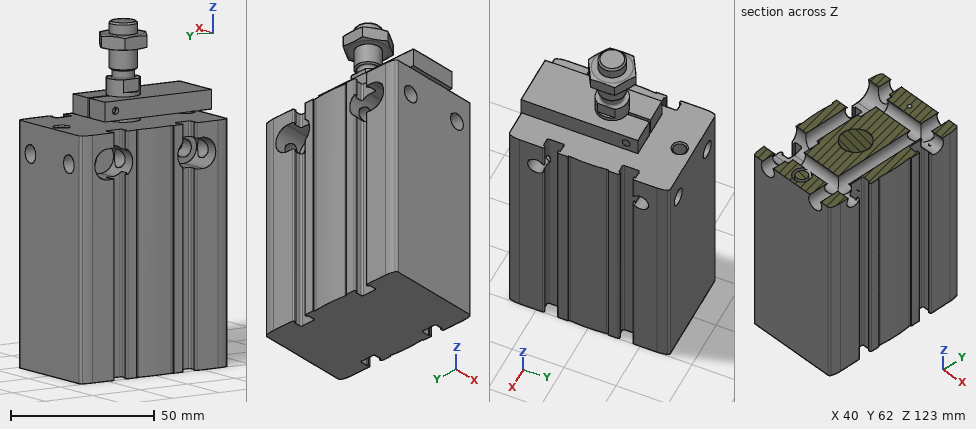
import cadquery as cq
import math


body_width = 40.0
body_depth = 62.0
body_height = 88.0
half_width = body_width / 2
half_depth = body_depth / 2

side_round_radius = 12.0
side_round_start = 26.5
corner_radius = 1.0

groove_outer_y = 7.8
groove_floor_y = 7.7
groove_inner_y = 6.9
groove_depth = 0.4

slot_y = 14.5
slot_mouth = 5.2
slot_inner_width = 6.5
slot_lip = 1.2
slot_depth = 4.6
slot_mouth_radius = 0.5
slot_corner_radius = 0.6

mount_hole_d = 6.6
mount_z = body_height - 11.0
side_hole_y = 20.0
end_hole_x = 12.0
counterbore_d = 11.0
counterbore_stretch = 5.0
counterbore_depth = 12.0

port_y = 26.0
port_d = 4.92
port_mouth_d = 6.0
port_depth = 8.0
port_tip_angle = 118.0

rod_d = 12.0
rod_top = 123.0
rod_shoulder_z = 103.0
rod_engagement = 20.0
rod_flat_width = 10.0
rod_flat_length = 4.5
thread_d = 10.0
thread_end_d = 8.65
thread_bottom_z = 105.95
thread_bottom_taper = 0.5
neck_d = 8.0
neck_fillet = 0.3

nut_across_flats = 16.0
nut_thickness = 5.0
nut_bottom_z = 113.8
nut_face_d = 14.7
nut_bevel_angle = 15.0

plate_width = 20.0
plate_thickness = 7.0
plate_bottom_z = 90.0
plate_back_y = 14.5
plate_front_y = -30.5
slit_width = 1.0
guide_d = 5.0
guide_hole_d = 7.0
guide_y = -26.0

screw_d = 3.0
screw_y = 10.0
screw_z = plate_bottom_z + plate_thickness / 2
screw_recess = 2.0
pilot_d = 2.46

rod_bottom_z = body_height - rod_engagement


def cylinder(diameter, bottom, top, y=0.0):
    """Upright cylinder between two heights."""
    return cq.Workplane("XY", origin=(0, y, bottom)).circle(diameter / 2).extrude(top - bottom)


def revolve_profile(points):
    """Solid of revolution about the Z axis from (radius, height) points."""
    return cq.Workplane("XZ").polyline(points).close().revolve(360, (0, 0, 0), (0, 1, 0))


def cylinder_along_x(diameter, start_x, end_x, y, z):
    return cq.Workplane("YZ", origin=(start_x, y, z)).circle(diameter / 2).extrude(end_x - start_x)


def polar(center, radius, angle):
    """Point on a circle, with the angle in radians from the +X direction."""
    return (center[0] + radius * math.cos(angle), center[1] + radius * math.sin(angle))


def corner_path(side_x, side_y):
    """Points of one body corner, from the side face to the end face.

    Start, middle and end of the large rounding, then middle and end of the small one.
    """
    side_center = (half_width - side_round_radius, side_round_start)
    corner_center_y = half_depth - corner_radius
    center_distance = side_round_radius - corner_radius
    join_angle = math.asin((corner_center_y - side_round_start) / center_distance)
    corner_center = polar(side_center, center_distance, join_angle)
    right_angle = math.pi / 2
    points = [
        polar(side_center, side_round_radius, 0),
        polar(side_center, side_round_radius, join_angle / 2),
        polar(side_center, side_round_radius, join_angle),
        polar(corner_center, corner_radius, (join_angle + right_angle) / 2),
        polar(corner_center, corner_radius, right_angle),
    ]
    return [(side_x * x, side_y * y) for x, y in points]


def body_block():
    """Extruded outline: rounded corners, grooves and a crowned middle on both sides."""
    outline = cq.Workplane("XY").moveTo(*corner_path(-1, -1)[-1])
    for side in (1, -1):
        near = corner_path(side, -side)
        far = corner_path(side, side)
        surface_x = side * half_width
        groove_x = side * (half_width - groove_depth)
        outline = (
            outline.lineTo(*near[4])
            .threePointArc(near[3], near[2])
            .threePointArc(near[1], near[0])
            .lineTo(surface_x, -side * groove_outer_y)
            .lineTo(groove_x, -side * groove_floor_y)
            .lineTo(groove_x, -side * groove_inner_y)
            .threePointArc((surface_x, 0), (groove_x, side * groove_inner_y))
            .lineTo(groove_x, side * groove_floor_y)
            .lineTo(surface_x, side * groove_outer_y)
            .lineTo(*far[0])
            .threePointArc(far[1], far[2])
            .threePointArc(far[3], far[4])
        )
    return outline.close().extrude(body_height)


def sensor_slot(side_x, center_y):
    """T-shaped slot along the full height, with a rounded mouth and inner corners."""
    surface_x = side_x * half_width
    mouth_x = side_x * (half_width - slot_lip / 2)
    chamber_x = side_x * (half_width - (slot_lip + slot_depth) / 2)
    inner_side = ">X" if side_x < 0 else "<X"
    mouth = cq.Workplane("XY").center(mouth_x, center_y).rect(slot_lip, slot_mouth).extrude(body_height)
    chamber = (
        cq.Workplane("XY")
        .center(chamber_x, center_y)
        .rect(slot_depth - slot_lip, slot_inner_width)
        .extrude(body_height)
        .edges(f"|Z and {inner_side}")
        .fillet(slot_corner_radius)
    )
    slot = mouth.union(chamber)
    for edge in (-1, 1):
        edge_y = center_y + edge * slot_mouth / 2
        tangent_x = surface_x - side_x * slot_mouth_radius
        tangent_y = edge_y + edge * slot_mouth_radius
        arc_middle = polar((tangent_x, tangent_y), slot_mouth_radius, math.atan2(-edge, side_x))
        flare = (
            cq.Workplane("XY")
            .moveTo(surface_x, edge_y)
            .lineTo(surface_x, tangent_y)
            .threePointArc(arc_middle, (tangent_x, edge_y))
            .close()
            .extrude(body_height)
        )
        slot = slot.union(flare)
    return slot


def side_mount_hole(side_y):
    """Hole along X with a counterbore drawn out toward the middle of the body."""
    hole = cylinder_along_x(mount_hole_d, -half_width, half_width, side_y * side_hole_y, mount_z)
    counterbore_y = side_y * (side_hole_y - counterbore_stretch / 2)
    counterbore = (
        cq.Workplane("YZ", origin=(-half_width, counterbore_y, mount_z))
        .slot2D(counterbore_d + counterbore_stretch, counterbore_d)
        .extrude(counterbore_depth)
    )
    return hole.union(counterbore)


def end_mount_hole(side_x):
    """Plain hole along Y through the whole body."""
    return (
        cq.Workplane("XZ", origin=(side_x * end_hole_x, half_depth, mount_z))
        .circle(mount_hole_d / 2)
        .extrude(body_depth)
    )


def top_port():
    """Blind drilled hole with a beveled mouth and a conical bottom."""
    radius = port_d / 2
    mouth_radius = port_mouth_d / 2
    tip_length = radius / math.tan(math.radians(port_tip_angle / 2))
    points = [
        (0, body_height),
        (mouth_radius, body_height),
        (radius, body_height - (mouth_radius - radius)),
        (radius, body_height - port_depth),
        (0, body_height - port_depth - tip_length),
    ]
    return revolve_profile(points).translate((0, port_y, 0))


def make_body():
    body = body_block()
    for side in (-1, 1):
        body = body.cut(sensor_slot(side, slot_y)).cut(sensor_slot(side, -slot_y))
        body = body.cut(side_mount_hole(side)).cut(end_mount_hole(side))
    body = body.cut(top_port())
    body = body.cut(cylinder(rod_d, rod_bottom_z, body_height))
    return body.cut(cylinder(guide_hole_d, rod_bottom_z, body_height, y=guide_y))


def make_rod():
    thread_radius = thread_d / 2
    thread_end_radius = thread_end_d / 2
    neck_radius = neck_d / 2
    chamfer = thread_radius - thread_end_radius
    fillet_center_x = neck_radius + neck_fillet
    lower_center = (fillet_center_x, rod_shoulder_z + neck_fillet)
    upper_center = (fillet_center_x, thread_bottom_z - neck_fillet)
    lower_middle = polar(lower_center, neck_fillet, -3 * math.pi / 4)
    upper_middle = polar(upper_center, neck_fillet, 3 * math.pi / 4)
    rod = (
        cq.Workplane("XZ")
        .moveTo(0, rod_bottom_z)
        .lineTo(rod_d / 2, rod_bottom_z)
        .lineTo(rod_d / 2, rod_shoulder_z)
        .lineTo(fillet_center_x, rod_shoulder_z)
        .threePointArc(lower_middle, (neck_radius, lower_center[1]))
        .lineTo(neck_radius, upper_center[1])
        .threePointArc(upper_middle, (fillet_center_x, thread_bottom_z))
        .lineTo(thread_end_radius, thread_bottom_z)
        .lineTo(thread_radius, thread_bottom_z + thread_bottom_taper)
        .lineTo(thread_radius, rod_top - chamfer)
        .lineTo(thread_end_radius, rod_top)
        .lineTo(0, rod_top)
        .close()
        .revolve(360, (0, 0, 0), (0, 1, 0))
    )
    for side in (-1, 1):
        flat_cut = cq.Workplane("XY").box(rod_d, rod_d, rod_flat_length).translate(
            (side * (rod_flat_width + rod_d) / 2, 0, rod_shoulder_z - rod_flat_length / 2)
        )
        rod = rod.cut(flat_cut)
    return rod


def make_nut():
    tip_radius = nut_across_flats / math.sqrt(3)
    face_radius = nut_face_d / 2
    bevel_drop = (tip_radius - face_radius) * math.tan(math.radians(nut_bevel_angle))
    nut_top_z = nut_bottom_z + nut_thickness
    hexagon = (
        cq.Workplane("XY", origin=(0, 0, nut_bottom_z))
        .polygon(6, 2 * tip_radius)
        .extrude(nut_thickness)
        .rotate((0, 0, 0), (0, 0, 1), 30)
    )
    beveled_disc = revolve_profile([
        (0, nut_bottom_z),
        (face_radius, nut_bottom_z),
        (tip_radius, nut_bottom_z + bevel_drop),
        (tip_radius, nut_top_z - bevel_drop),
        (face_radius, nut_top_z),
        (0, nut_top_z),
    ])
    return hexagon.intersect(beveled_disc).cut(cylinder(thread_d, nut_bottom_z, nut_top_z))


def make_guide_plate():
    """Plate clamped on the rod, in one piece with the guide pin under its front end."""
    plate_top_z = plate_bottom_z + plate_thickness
    plate_length = plate_back_y - plate_front_y
    plate_center_y = (plate_back_y + plate_front_y) / 2
    plate = (
        cq.Workplane("XY", origin=(0, plate_center_y, plate_bottom_z))
        .rect(plate_width, plate_length)
        .extrude(plate_thickness)
    )
    plate = plate.cut(cylinder(rod_d, plate_bottom_z, plate_top_z))
    slit = (
        cq.Workplane("XY", origin=(0, plate_back_y / 2, plate_bottom_z))
        .rect(slit_width, plate_back_y)
        .extrude(plate_thickness)
    )
    plate = plate.cut(slit)
    plate = plate.cut(cylinder_along_x(pilot_d, -plate_width / 2, plate_width / 2, screw_y, screw_z))
    plate = plate.cut(make_clamp_screw())
    return plate.union(cylinder(guide_d, rod_bottom_z, plate_bottom_z, y=guide_y))


def make_clamp_screw():
    """Plain screw across the slit, flush with the +X face of the plate."""
    return cylinder_along_x(screw_d, screw_recess - plate_width / 2, plate_width / 2, screw_y, screw_z)


body = make_body()
rod = make_rod()
nut = make_nut()
guide_plate = make_guide_plate()
clamp_screw = make_clamp_screw()

result = cq.Compound.makeCompound([
    body.val(),
    rod.val(),
    nut.val(),
    guide_plate.val(),
    clamp_screw.val(),
])